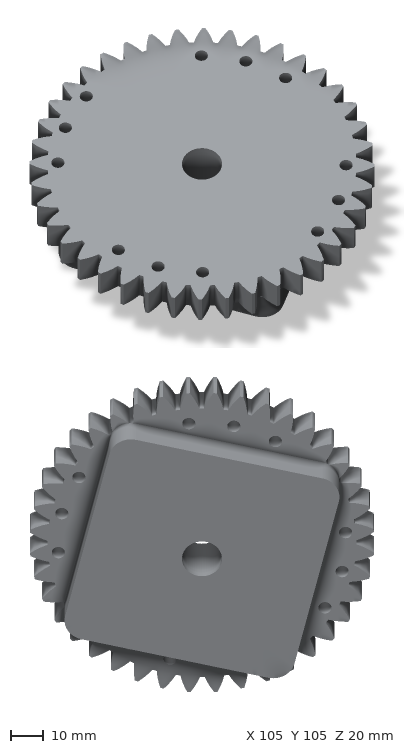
import cadquery as cq
import math

outside_diameter = 105.0
tooth_count = 40
pressure_angle = math.radians(27)
tooth_depth = 5.5
tooth_thinning = 0.16
gear_thickness = 10.0

module = outside_diameter / (tooth_count + 2)
tip_radius = outside_diameter / 2
pitch_radius = module * tooth_count / 2
root_radius = tip_radius - tooth_depth
base_radius = pitch_radius * math.cos(pressure_angle)

bore_diameter = 12.2
small_hole_diameter = 4.0
y_group_radius = 41.9
x_group_radius = 43.9
hole_side_offset = 13.5

hub_side = 71.8
hub_thickness = 10.0
hub_corner_radius = 6.7


def polar(radius, angle):
    return (radius * math.cos(angle), radius * math.sin(angle))


def involute(angle):
    return math.tan(angle) - angle


def half_tooth_angle(radius):
    """Angle from the tooth centre line to its involute flank at a radius."""
    pitch_half = math.pi / (2 * tooth_count) - tooth_thinning / (2 * pitch_radius)
    return pitch_half + involute(pressure_angle) - involute(math.acos(base_radius / radius))


def gear_outline():
    """Closed gear profile; each flank is an arc through three points of the involute."""
    root_half = half_tooth_angle(root_radius)
    pitch_half = half_tooth_angle(pitch_radius)
    tip_half = half_tooth_angle(tip_radius)
    tooth_pitch = 2 * math.pi / tooth_count

    outline = cq.Workplane("XY").moveTo(*polar(root_radius, -root_half))
    for tooth in range(tooth_count):
        centre = tooth * tooth_pitch
        next_root = centre + tooth_pitch - root_half
        outline = (
            outline
            .threePointArc(polar(pitch_radius, centre - pitch_half), polar(tip_radius, centre - tip_half))
            .threePointArc(polar(tip_radius, centre), polar(tip_radius, centre + tip_half))
            .threePointArc(polar(pitch_radius, centre + pitch_half), polar(root_radius, centre + root_half))
        )
        if tooth < tooth_count - 1:
            gap_middle = polar(root_radius, centre + tooth_pitch / 2)
            outline = outline.threePointArc(gap_middle, polar(root_radius, next_root))
    last_gap_middle = polar(root_radius, -tooth_pitch / 2)
    outline = outline.threePointArc(last_gap_middle, polar(root_radius, -root_half))
    return outline.close()


def small_hole_centres():
    """Three holes on each of the four sides, each group on its own hole circle."""
    y_group_height = math.sqrt(y_group_radius**2 - hole_side_offset**2)
    x_group_reach = math.sqrt(x_group_radius**2 - hole_side_offset**2)
    centres = []
    for side in (-1, 1):
        centres.append((0, side * y_group_radius))
        centres.append((side * x_group_radius, 0))
        for offset in (-hole_side_offset, hole_side_offset):
            centres.append((offset, side * y_group_height))
            centres.append((side * x_group_reach, offset))
    return centres


def make_gear():
    blank = gear_outline().extrude(gear_thickness)
    top = blank.faces(">Z").workplane(origin=(0, 0, gear_thickness))
    drilled = top.pushPoints(small_hole_centres()).hole(small_hole_diameter)
    return drilled.faces(">Z").workplane(origin=(0, 0, gear_thickness)).hole(bore_diameter)


def make_hub():
    plate = cq.Workplane("XY").rect(hub_side, hub_side).extrude(-hub_thickness)
    plate = plate.edges("|Z").fillet(hub_corner_radius)
    return plate.faces(">Z").workplane(origin=(0, 0, 0)).hole(bore_diameter)


gear = make_gear()
hub = make_hub()

result = cq.Compound.makeCompound([gear.val(), hub.val()])